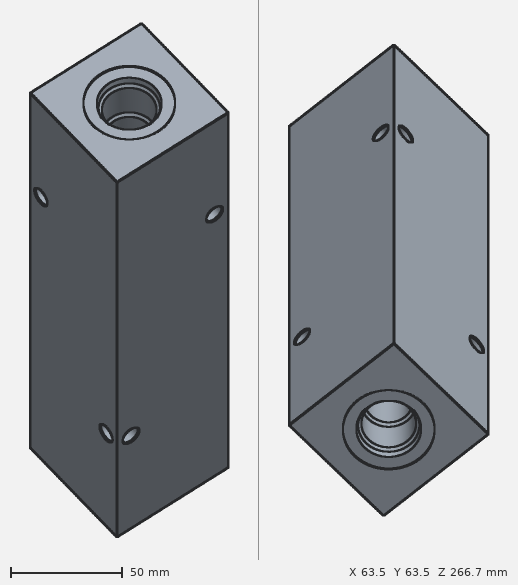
import cadquery as cq

length = 266.7
width = 63.5
edge_chamfer = 0.3

bore_diameter = 21.5
spotface_diameter = 41.0
spotface_depth = 0.8
seal_mouth_diameter = 29.0
seal_throat_diameter = 27.5
seal_depth = 3.2
thread_diameter = 24.5
thread_end_depth = 23.0

mount_diameter = 8.5
mount_mouth_diameter = 9.5
mount_offset = 23.7
mount_height = 63.5

half_width = width / 2
half_length = length / 2


def make_block():
    """Square bar centred on the origin, with all its outer edges broken."""
    return cq.Workplane("XY").box(width, width, length).edges().chamfer(edge_chamfer)


def make_top_port():
    """Port cutter for the +Z end, revolved from (radius, height) points."""
    spotface_radius = spotface_diameter / 2
    throat_radius = seal_throat_diameter / 2
    thread_radius = thread_diameter / 2
    bore_radius = bore_diameter / 2
    floor = half_length - spotface_depth
    seal_bottom = floor - seal_depth
    thread_top = seal_bottom - (throat_radius - thread_radius)
    thread_bottom = floor - thread_end_depth
    thread_end = thread_bottom - (thread_radius - bore_radius)
    return (
        cq.Workplane("XZ")
        .moveTo(0, half_length)
        .lineTo(spotface_radius, half_length)
        .lineTo(spotface_radius, floor)
        .lineTo(seal_mouth_diameter / 2, floor)
        .lineTo(throat_radius, seal_bottom)
        .lineTo(thread_radius, thread_top)
        .lineTo(thread_radius, thread_bottom)
        .lineTo(bore_radius, thread_end)
        .lineTo(0, thread_end)
        .close()
        .revolve(360, (0, 0, 0), (0, 1, 0))
    )


def make_mount_hole():
    """Through-hole cutter along Y with a 45 degree countersink at both faces."""
    mount_radius = mount_diameter / 2
    mouth_radius = mount_mouth_diameter / 2
    sink_depth = mouth_radius - mount_radius
    return (
        cq.Workplane("XY")
        .moveTo(0, -half_width)
        .lineTo(mouth_radius, -half_width)
        .lineTo(mount_radius, sink_depth - half_width)
        .lineTo(mount_radius, half_width - sink_depth)
        .lineTo(mouth_radius, half_width)
        .lineTo(0, half_width)
        .close()
        .revolve(360, (0, 0, 0), (0, 1, 0))
    )


result = make_block()

top_port = make_top_port()
result = result.cut(cq.Workplane("XY").circle(bore_diameter / 2).extrude(half_length, both=True))
result = result.cut(top_port).cut(top_port.mirror("XY"))

hole_along_y = make_mount_hole()
hole_along_x = hole_along_y.rotate((0, 0, 0), (0, 0, 1), 90)
for side in (1, -1):
    result = result.cut(hole_along_y.translate((-side * mount_offset, 0, side * mount_height)))
    result = result.cut(hole_along_x.translate((0, side * mount_offset, side * mount_height)))